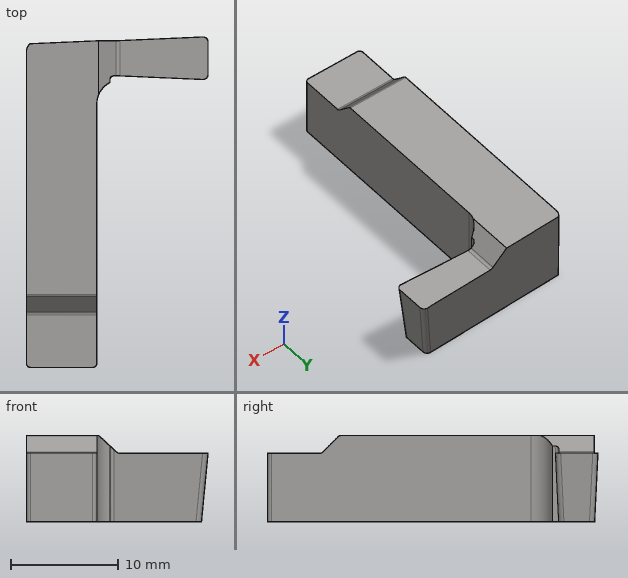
import cadquery as cq
import math

HEIGHT = 8.08
LOW_HEIGHT = 6.43
STEM_WIDTH = 6.6
ARM_TIP_X = 17.0
MARGIN = 5.0

ARM_FLARE = math.tan(math.radians(2.5))
SIDE_DRAFT = math.tan(math.radians(2.5))
TIP_DRAFT = math.tan(math.radians(5.5))

TIP_BACK_Y = 30.92
TIP_INNER_Y = 26.88
CORNER_TOP_Y = 30.46

INNER_ARC_RADIUS = 2.2
INNER_ARC_START_Y = 24.65
SHOULDER_X = 7.83
ARM_ROOT_RADIUS = 0.35

BACK_CORNER_RADIUS = 1.0
END_CORNER_RADIUS = 0.4
TIP_CORNER_RADIUS = 0.5

ARM_RAMP_X = 6.77
ARM_RAMP_RUN = 1.78
ARM_RAMP_FOOT_RADIUS = 0.5
STEM_RAMP_Y = 6.72
STEM_RAMP_RUN = HEIGHT - LOW_HEIGHT
STEM_RAMP_FOOT_RADIUS = 0.4
STEM_RAMP_TOP_RADIUS = 0.25


def back_y(x, z):
    """Y of the sloped and drafted back face."""
    return TIP_BACK_Y - ARM_FLARE * (ARM_TIP_X - x) - SIDE_DRAFT * (LOW_HEIGHT - z)


def inner_y(x, z):
    """Y of the sloped and drafted inner face of the arm."""
    return TIP_INNER_Y + ARM_FLARE * (ARM_TIP_X - x) + SIDE_DRAFT * (LOW_HEIGHT - z)


def tip_x(z):
    """X of the drafted arm end."""
    return ARM_TIP_X - TIP_DRAFT * (LOW_HEIGHT - z)


def ruled_block(corners_at):
    """Flat-sided block through the corner outlines at the bottom and at full height."""
    bottom = cq.Wire.makePolygon([cq.Vector(*p) for p in corners_at(0)], close=True)
    top = cq.Wire.makePolygon([cq.Vector(*p) for p in corners_at(HEIGHT)], close=True)
    return cq.Workplane(obj=cq.Solid.makeLoft([bottom, top], True))


def stem():
    """Upright prism of the stem with the arc and shoulder that lead to the arm."""
    arc_center_x = STEM_WIDTH + INNER_ARC_RADIUS
    end_angle = math.acos((arc_center_x - SHOULDER_X) / INNER_ARC_RADIUS)

    def arc_point(angle):
        return (
            arc_center_x - INNER_ARC_RADIUS * math.cos(angle),
            INNER_ARC_START_Y + INNER_ARC_RADIUS * math.sin(angle),
        )

    body = (
        cq.Workplane("XY")
        .moveTo(0, 0)
        .lineTo(STEM_WIDTH, 0)
        .lineTo(STEM_WIDTH, INNER_ARC_START_Y)
        .threePointArc(arc_point(end_angle / 2), arc_point(end_angle))
        .lineTo(SHOULDER_X, CORNER_TOP_Y + ARM_FLARE * SHOULDER_X)
        .lineTo(0, CORNER_TOP_Y)
        .close()
        .extrude(HEIGHT)
    )
    body = body.edges("|Z").edges("<Y").fillet(END_CORNER_RADIUS)
    back_corner = cq.selectors.NearestToPointSelector((0, CORNER_TOP_Y, HEIGHT / 2))
    body = body.edges(back_corner).fillet(BACK_CORNER_RADIUS)

    def within_back_face(z):
        left = -MARGIN
        right = STEM_WIDTH + MARGIN
        return [
            (left, -MARGIN, z),
            (right, -MARGIN, z),
            (right, back_y(right, z), z),
            (left, back_y(left, z), z),
        ]

    return body.intersect(ruled_block(within_back_face))


def arm():
    """Tapered arm with rounded tip corners, rooted inside the stem."""
    root_x = STEM_WIDTH / 2

    def corners(z):
        end_x = tip_x(z)
        return [
            (root_x, inner_y(root_x, z), z),
            (end_x, inner_y(end_x, z), z),
            (end_x, back_y(end_x, z), z),
            (root_x, back_y(root_x, z), z),
        ]

    block = ruled_block(corners)
    return block.faces(">X").edges("not #Z").edges("not |Y").fillet(TIP_CORNER_RADIUS)


def round_ramp_edge(envelope, x, z, radius):
    """Round the ramp edge that crosses the XZ plane at x, z."""
    edge = cq.selectors.NearestToPointSelector((x, 0, z))
    return envelope.edges(edge).fillet(radius)


def ramp_envelope(ramp_start, ramp_run, reach, foot_radius):
    """Space below a top that ramps down along +X from ramp_start, with a rounded foot."""
    ramp_end = ramp_start + ramp_run
    envelope = (
        cq.Workplane("XZ")
        .moveTo(ramp_start - reach, 0)
        .lineTo(ramp_end + reach, 0)
        .lineTo(ramp_end + reach, LOW_HEIGHT)
        .lineTo(ramp_end, LOW_HEIGHT)
        .lineTo(ramp_start, HEIGHT)
        .lineTo(ramp_start - reach, HEIGHT)
        .close()
        .extrude(reach, both=True)
    )
    return round_ramp_edge(envelope, ramp_end, LOW_HEIGHT, foot_radius)


def arm_ramp(reach):
    """Space below the ramp that drops along +X to the arm."""
    return ramp_envelope(ARM_RAMP_X, ARM_RAMP_RUN, reach, ARM_RAMP_FOOT_RADIUS)


def stem_ramp(reach):
    """Space below the ramp that drops along -Y to the stem end."""
    envelope = ramp_envelope(-STEM_RAMP_Y, STEM_RAMP_RUN, reach, STEM_RAMP_FOOT_RADIUS)
    envelope = round_ramp_edge(envelope, -STEM_RAMP_Y, HEIGHT, STEM_RAMP_TOP_RADIUS)
    return envelope.rotate((0, 0, 0), (0, 0, 1), -90)


def round_arm_root(body):
    """Round the inside corner between the shoulder wall and the inner arm face."""
    middle = HEIGHT / 2
    root_point = (SHOULDER_X, inner_y(SHOULDER_X, middle), middle)
    root = cq.selectors.NearestToPointSelector(root_point)
    return body.edges(root).fillet(ARM_ROOT_RADIUS)


part_reach = TIP_BACK_Y + MARGIN
blank = round_arm_root(stem().union(arm()))
result = blank.intersect(arm_ramp(part_reach)).intersect(stem_ramp(part_reach))